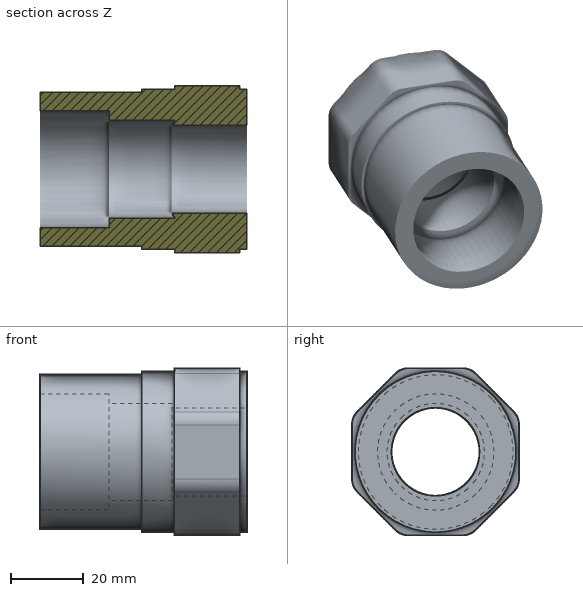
import cadquery as cq
import math

spigot_length = 28.0
collar_length = 9.0
end_ring_length = 2.0
octagon_length = 18.0
total_length = spigot_length + collar_length + octagon_length + end_ring_length

spigot_diameter = 42.5
collar_diameter = 44.25
octagon_across_flats = 46.0
octagon_corner_radius = 5.0

socket_diameter = 32.0
socket_depth = 19.0
relief_diameter = 26.75
thread_core_diameter = 24.12

lip_slope_angle = 30.0
lip_wall = (relief_diameter - thread_core_diameter) / 2
lip_height = lip_wall * math.tan(math.radians(lip_slope_angle))

octagon_start = spigot_length + collar_length
end_ring_start = octagon_start + octagon_length
lip_base = octagon_start


def cylinder_along_x(start, length, diameter):
    return cq.Workplane("YZ", origin=(start, 0, 0)).circle(diameter / 2).extrude(length)


def octagon_body(start, length):
    """Octagonal prism with flats facing +-Y and +-Z, made from two crossed squares."""
    square = cq.Workplane("YZ", origin=(start, 0, 0)).rect(octagon_across_flats, octagon_across_flats)
    upright = square.extrude(length)
    turned = upright.rotate((0, 0, 0), (1, 0, 0), 45)
    return upright.intersect(turned).edges("|X").fillet(octagon_corner_radius)


def outer_body():
    """Spigot, collar, octagonal grip and end ring joined along the X axis."""
    return (
        cylinder_along_x(0, spigot_length, spigot_diameter)
        .union(cylinder_along_x(spigot_length, collar_length, collar_diameter))
        .union(octagon_body(octagon_start, octagon_length))
        .union(cylinder_along_x(end_ring_start, end_ring_length, collar_diameter))
    )


def relief_bore():
    """Relief bore ending in a V-shaped ring groove around the conical lip."""
    lip = cq.Solid.makeCone(
        thread_core_diameter / 2,
        relief_diameter / 2,
        lip_height,
        pnt=cq.Vector(lip_base - lip_height, 0, 0),
        dir=cq.Vector(1, 0, 0),
    )
    bore = cylinder_along_x(socket_depth, lip_base - socket_depth, relief_diameter)
    return bore.cut(cq.Workplane(obj=lip))


result = (
    outer_body()
    .cut(cylinder_along_x(0, socket_depth, socket_diameter))
    .cut(relief_bore())
    .cut(cylinder_along_x(0, total_length, thread_core_diameter))
)